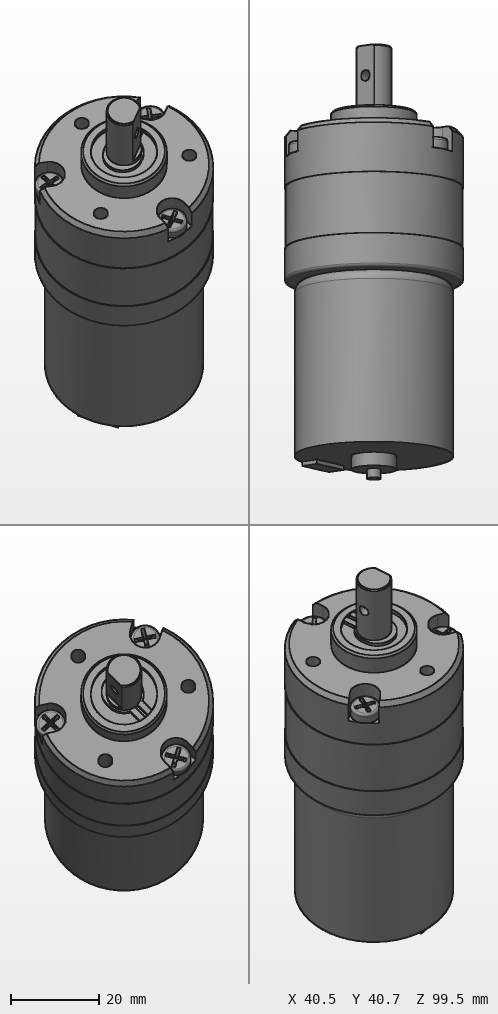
import cadquery as cq


COVER_DIAMETER = 40.5
COVER_HEIGHT = 12.5
COVER_CHAMFER_HEIGHT = 1.2
COVER_CHAMFER_WIDTH = 1.0
BOSS_DIAMETER = 19.5
BOSS_HEIGHT = 4.9
BOSS_CHAMFER = 0.5
RECESS_DIAMETER = 15.0
RECESS_DEPTH = 1.0
MOUNTING_HOLE_DIAMETER = 3.2
MOUNTING_HOLE_CIRCLE = 30.0
MOUNTING_HOLE_ANGLES = (30, 150, 270)

SCREW_ANGLES = (-30, 90, 210)
SCREW_CIRCLE = 34.2
SCREW_HEAD_DIAMETER = 6.7
SCREW_HEAD_HEIGHT = 2.7
SCREW_HEAD_ROUNDING = 0.6
POCKET_WIDTH = 7.0
POCKET_DEPTH = 6.0
CROSS_SPAN = 4.8
CROSS_CENTER = 1.2
CROSS_ARM_WIDTH = 0.8
CROSS_DEPTH = 2.3
CROSS_TWIST = 30

RING_DIAMETER = 40.2
RING_BORE = 31.0
RING_HEIGHT = 14.1
FLANGE_HEIGHT = 7.7
FLANGE_ROUNDING = 0.7

CAN_DIAMETER = 36.0
CAN_HEIGHT = 40.1
CAN_ROUNDING = 2.4
REAR_BOSS_DIAMETER = 10.2
REAR_BOSS_HEIGHT = 3.1
TAIL_DIAMETER = 3.2
TAIL_LENGTH = 2.1
TERMINAL_LENGTH = 9.8
TERMINAL_WIDTH = 4.3
TERMINAL_HEIGHT = 1.0
TERMINAL_OFFSET = 14.8

SHAFT_DIAMETER = 8.0
SHAFT_CHAMFER = 0.3
FLAT_OFFSET = 3.1
FLAT_CLEARANCE = 0.9
CROSS_HOLE_DIAMETER = 2.5
CROSS_HOLE_FROM_END = 7.0

CLIP_WIDTH = 9.0
CLIP_EXTENSION = 0.9
CLIP_THICKNESS = 0.8
LUG_SPAN = 3.8
LUG_GAP = 0.8

OVERALL_LENGTH = 99.5
RING_TOP = -COVER_HEIGHT
FLANGE_TOP = RING_TOP - RING_HEIGHT
CAN_TOP = FLANGE_TOP - FLANGE_HEIGHT
CAN_BOTTOM = CAN_TOP - CAN_HEIGHT
REAR_BOSS_BOTTOM = CAN_BOTTOM - REAR_BOSS_HEIGHT
TAIL_END = REAR_BOSS_BOTTOM - TAIL_LENGTH
SHAFT_END = TAIL_END + OVERALL_LENGTH
RECESS_FLOOR = BOSS_HEIGHT - RECESS_DEPTH


def cylinder(diameter, bottom, height):
    """Upright cylinder on the Z axis."""
    return cq.Workplane("XY").workplane(offset=bottom).circle(diameter / 2).extrude(height)


def make_screw_pocket():
    """Round-ended pocket on the +X side, open to the rim."""
    radius = SCREW_CIRCLE / 2
    half_width = POCKET_WIDTH / 2
    return (
        cq.Workplane("XY")
        .moveTo(COVER_DIAMETER, half_width)
        .lineTo(radius, half_width)
        .threePointArc((radius - half_width, 0), (radius, -half_width))
        .lineTo(COVER_DIAMETER, -half_width)
        .close()
        .extrude(-POCKET_DEPTH)
    )


def make_cover():
    cover = cylinder(COVER_DIAMETER, RING_TOP, COVER_HEIGHT)
    cover = cover.faces(">Z").edges().chamfer(COVER_CHAMFER_HEIGHT, COVER_CHAMFER_WIDTH)
    boss = cylinder(BOSS_DIAMETER, 0, BOSS_HEIGHT).faces(">Z").chamfer(BOSS_CHAMFER)
    cover = cover.union(boss)
    cover = cover.cut(cylinder(RECESS_DIAMETER, RECESS_FLOOR, RECESS_DEPTH))
    cover = cover.cut(cylinder(SHAFT_DIAMETER, RING_TOP, COVER_HEIGHT + BOSS_HEIGHT))

    hole = cylinder(MOUNTING_HOLE_DIAMETER, RING_TOP, COVER_HEIGHT)
    hole = hole.translate((MOUNTING_HOLE_CIRCLE / 2, 0, 0))
    for angle in MOUNTING_HOLE_ANGLES:
        cover = cover.cut(hole.rotate((0, 0, 0), (0, 0, 1), angle))

    pocket = make_screw_pocket()
    for angle in SCREW_ANGLES:
        cover = cover.cut(pocket.rotate((0, 0, 0), (0, 0, 1), angle))
    return cover


def make_cross_recess():
    """Phillips recess below Z = 0: two crossed slots with sloping ends and a square centre."""
    slot = (
        cq.Workplane("XZ")
        .moveTo(-CROSS_SPAN / 2, 0)
        .lineTo(CROSS_SPAN / 2, 0)
        .lineTo(CROSS_CENTER / 2, -CROSS_DEPTH)
        .lineTo(-CROSS_CENTER / 2, -CROSS_DEPTH)
        .close()
        .extrude(CROSS_ARM_WIDTH / 2, both=True)
    )
    crossing_slot = slot.rotate((0, 0, 0), (0, 0, 1), 90)
    center = cq.Workplane("XY").rect(CROSS_CENTER, CROSS_CENTER).extrude(-CROSS_DEPTH)
    center = center.rotate((0, 0, 0), (0, 0, 1), 45)
    return slot.union(crossing_slot).union(center)


def make_screw(angle):
    """Screw head standing on the floor of its pocket."""
    head = cylinder(SCREW_HEAD_DIAMETER, -SCREW_HEAD_HEIGHT, SCREW_HEAD_HEIGHT)
    head = head.faces(">Z").edges().fillet(SCREW_HEAD_ROUNDING)
    head = head.cut(make_cross_recess().rotate((0, 0, 0), (0, 0, 1), CROSS_TWIST))
    head = head.translate((SCREW_CIRCLE / 2, 0, SCREW_HEAD_HEIGHT - POCKET_DEPTH))
    return head.rotate((0, 0, 0), (0, 0, 1), angle)


def make_ring_gear():
    """Tube around the gear chamber, closed by the cover and the flange."""
    tube = cylinder(RING_DIAMETER, FLANGE_TOP, RING_HEIGHT)
    return tube.cut(cylinder(RING_BORE, FLANGE_TOP, RING_HEIGHT))


def make_flange():
    flange = cylinder(COVER_DIAMETER, CAN_TOP, FLANGE_HEIGHT)
    return flange.faces("<Z").edges().fillet(FLANGE_ROUNDING)


def make_motor():
    """Motor can with its rear boss, shaft tail and terminal block."""
    can = cylinder(CAN_DIAMETER, CAN_BOTTOM, CAN_HEIGHT).faces(">Z").edges().fillet(CAN_ROUNDING)
    rear_boss = cylinder(REAR_BOSS_DIAMETER, REAR_BOSS_BOTTOM, REAR_BOSS_HEIGHT)
    tail = cylinder(TAIL_DIAMETER, TAIL_END, TAIL_LENGTH)
    terminal = (
        cq.Workplane("XY")
        .workplane(offset=CAN_BOTTOM)
        .center(0, -TERMINAL_OFFSET)
        .rect(TERMINAL_LENGTH, TERMINAL_WIDTH)
        .extrude(-TERMINAL_HEIGHT)
    )
    return can.union(rear_boss).union(tail).union(terminal)


def make_shaft():
    shaft = cylinder(SHAFT_DIAMETER, RING_TOP, SHAFT_END - RING_TOP).faces(">Z").chamfer(SHAFT_CHAMFER)
    flat_bottom = BOSS_HEIGHT + FLAT_CLEARANCE
    flat = (
        cq.Workplane("XY")
        .workplane(offset=flat_bottom)
        .center(FLAT_OFFSET + SHAFT_DIAMETER / 2, 0)
        .rect(SHAFT_DIAMETER, 2 * SHAFT_DIAMETER)
        .extrude(SHAFT_END - flat_bottom)
    )
    cross_hole = (
        cq.Workplane("YZ")
        .center(0, SHAFT_END - CROSS_HOLE_FROM_END)
        .circle(CROSS_HOLE_DIAMETER / 2)
        .extrude(SHAFT_DIAMETER, both=True)
    )
    return shaft.cut(flat).cut(cross_hole)


def make_clip():
    """Retaining clip around the shaft, widest on -Y, with two lugs on +Y that reach the recess wall."""
    base = cq.Workplane("XY").workplane(offset=RECESS_FLOOR)
    clip = (
        base.center(0, -CLIP_EXTENSION / 2)
        .slot2D(CLIP_WIDTH + CLIP_EXTENSION, CLIP_WIDTH, 90)
        .extrude(CLIP_THICKNESS)
    )
    lug_reach = RECESS_DIAMETER / 2
    lugs = base.center(0, lug_reach / 2).rect(LUG_SPAN, lug_reach).extrude(CLIP_THICKNESS)
    lugs = lugs.intersect(cylinder(RECESS_DIAMETER, RECESS_FLOOR, CLIP_THICKNESS))
    gap = base.center(0, lug_reach / 2).rect(LUG_GAP, lug_reach).extrude(CLIP_THICKNESS)
    bore = cylinder(SHAFT_DIAMETER, RECESS_FLOOR, CLIP_THICKNESS)
    return clip.union(lugs).cut(gap).cut(bore)


cover = make_cover()
ring_gear = make_ring_gear()
flange = make_flange()
motor = make_motor()
shaft = make_shaft()
clip = make_clip()
screws = [make_screw(angle).val() for angle in SCREW_ANGLES]

result = cq.Compound.makeCompound(
    [cover.val(), ring_gear.val(), flange.val(), motor.val(), shaft.val(), clip.val(), *screws]
)